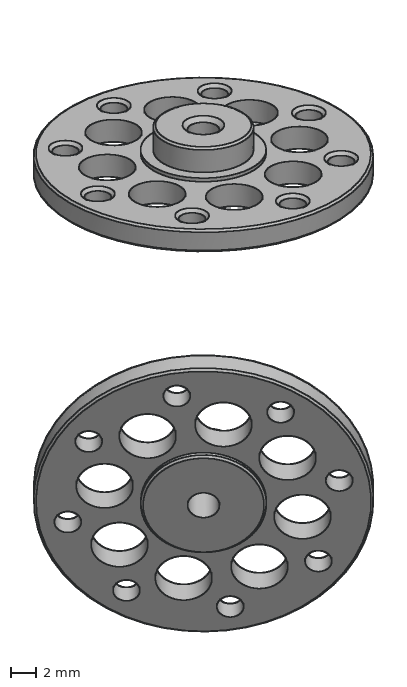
import cadquery as cq

disc_diameter = 27.0
disc_thickness = 2.0
disc_chamfer = 0.2

pad_diameter = 10.0
lower_pad_height = 0.49
lower_pad_chamfer = 0.2
upper_pad_height = 0.32
hub_diameter = 8.0
hub_chamfer = 0.2
total_height = 5.0
hub_top = total_height - lower_pad_height

bore_diameter = 2.55
bore_mouth_diameter = 3.32

hole_count = 8
screw_circle_radius = 11.0
screw_diameter = 2.13
screw_mouth_diameter = 2.7

window_circle_radius = 8.02
window_diameter = 4.5
half_step_angle = 180 / hole_count


def cylinder(diameter, bottom, top):
    return cq.Workplane("XY").workplane(offset=bottom).circle(diameter / 2).extrude(top - bottom)


def countersink(mouth_diameter, hole_diameter, top):
    """Downward 45 degree cone from the mouth to the hole diameter, on the Z axis."""
    mouth_radius = mouth_diameter / 2
    hole_radius = hole_diameter / 2
    depth = mouth_radius - hole_radius
    return cq.Workplane(cq.Solid.makeCone(hole_radius, mouth_radius, depth, cq.Vector(0, 0, top - depth)))


def through_hole(hole_diameter, mouth_diameter, top):
    hole = cylinder(hole_diameter, -lower_pad_height, top)
    return hole.union(countersink(mouth_diameter, hole_diameter, top))


disc = cylinder(disc_diameter, 0, disc_thickness).edges("%CIRCLE").chamfer(disc_chamfer)
lower_pad = cylinder(pad_diameter, -lower_pad_height, disc_thickness / 2)
lower_pad = lower_pad.faces("<Z").edges().chamfer(lower_pad_chamfer)
upper_pad = cylinder(pad_diameter, disc_thickness / 2, disc_thickness + upper_pad_height)
hub = cylinder(hub_diameter, disc_thickness / 2, hub_top).faces(">Z").edges().chamfer(hub_chamfer)
result = disc.union(lower_pad).union(upper_pad).union(hub)

result = result.cut(through_hole(bore_diameter, bore_mouth_diameter, hub_top))

screw_hole = through_hole(screw_diameter, screw_mouth_diameter, disc_thickness)
screw_hole = screw_hole.translate((screw_circle_radius, 0, 0))
window = cylinder(window_diameter, 0, disc_thickness).translate((window_circle_radius, 0, 0))
for index in range(hole_count):
    screw_angle = index * 2 * half_step_angle
    result = result.cut(screw_hole.rotate((0, 0, 0), (0, 0, 1), screw_angle))
    result = result.cut(window.rotate((0, 0, 0), (0, 0, 1), screw_angle + half_step_angle))